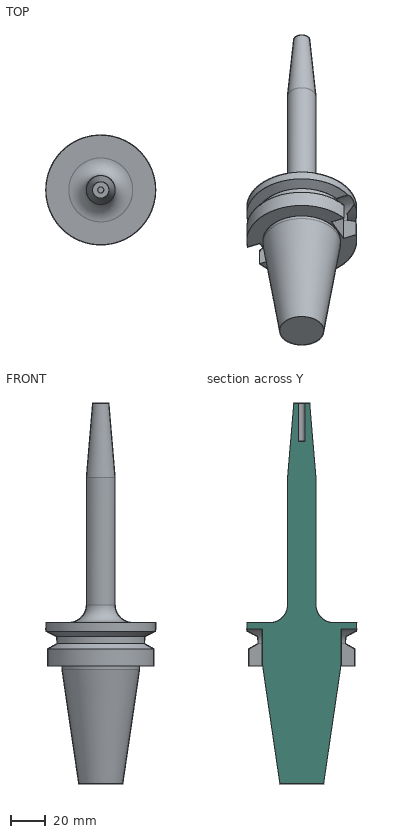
import cadquery as cq
import math

total_height = 217.8
gauge_z = 65.3
collar_height = 2.0
flange_bottom_z = gauge_z + collar_height
flange_top_z = 92.3
groove_bottom_z = 80.2
groove_top_z = 84.3
nose_taper_length = 42.7

shank_end_radius = 12.6
gauge_radius = 22.2
flange_radius = 63.0 / 2
groove_radius = 52.7 / 2
neck_radius = 16.5 / 2
neck_fillet_radius = 10.0
tip_radius = 9.4 / 2

flank_height = (flange_radius - groove_radius) * math.tan(math.radians(30))

bore_radius = 1.7
bore_depth = 21.8

slot_width = 16.1
slot_floor_x = 22.7
slot_top_z = 88.5


def turned_body():
    """Shank, flange with V-groove, filleted neck and tapered nose."""
    fillet_center_r = neck_radius + neck_fillet_radius
    fillet_center_z = flange_top_z + neck_fillet_radius
    fillet_offset = neck_fillet_radius * math.sqrt(0.5)
    fillet_middle = (fillet_center_r - fillet_offset, fillet_center_z - fillet_offset)
    return (
        cq.Workplane("XZ")
        .moveTo(0, 0)
        .lineTo(shank_end_radius, 0)
        .lineTo(gauge_radius, gauge_z)
        .lineTo(gauge_radius, flange_bottom_z)
        .lineTo(flange_radius, flange_bottom_z)
        .lineTo(flange_radius, groove_bottom_z - flank_height)
        .lineTo(groove_radius, groove_bottom_z)
        .lineTo(groove_radius, groove_top_z)
        .lineTo(flange_radius, groove_top_z + flank_height)
        .lineTo(flange_radius, flange_top_z)
        .lineTo(fillet_center_r, flange_top_z)
        .threePointArc(fillet_middle, (neck_radius, fillet_center_z))
        .lineTo(neck_radius, total_height - nose_taper_length)
        .lineTo(tip_radius, total_height)
        .lineTo(0, total_height)
        .close()
        .revolve(360, (0, 0, 0), (0, 1, 0))
    )


def drive_slot(side):
    """Round-topped cutter for one slot; side is -1 for -X or +1 for +X."""
    half_width = slot_width / 2
    arch_start_z = slot_top_z - half_width
    return (
        cq.Workplane("YZ", origin=(side * slot_floor_x, 0, 0))
        .moveTo(-half_width, flange_bottom_z)
        .lineTo(half_width, flange_bottom_z)
        .lineTo(half_width, arch_start_z)
        .threePointArc((0, slot_top_z), (-half_width, arch_start_z))
        .close()
        .extrude(side * flange_radius)
    )


def tool_bore():
    """Blind hole going down from the tip."""
    return (
        cq.Workplane("XY", origin=(0, 0, total_height - bore_depth))
        .circle(bore_radius)
        .extrude(bore_depth)
    )


result = turned_body().cut(tool_bore())
for side in (-1, 1):
    result = result.cut(drive_slot(side))